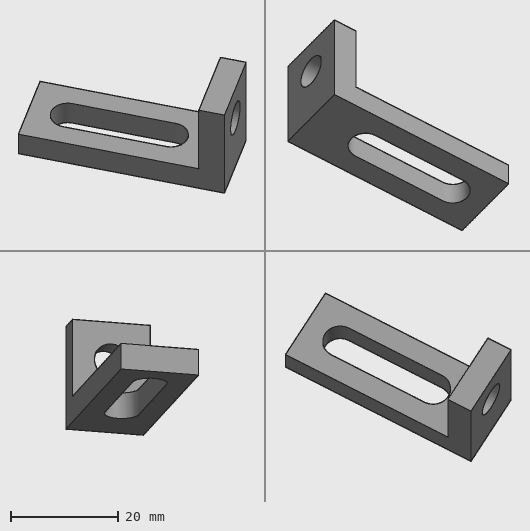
import cadquery as cq

length = 40.0
width = 15.0
height = 20.0
thickness = 5.0
bore_diameter = 6.5
slot_center_distance = 20.0

edge_distance = width / 2
slot_length = slot_center_distance + bore_diameter
slot_center_x = edge_distance + slot_center_distance / 2
hole_center_z = height - edge_distance


def make_body():
    """L-shaped plate: base along X with an upright at its +X end."""
    base = cq.Workplane("XY").box(length, width, thickness, centered=(False, True, False))
    upright = (
        cq.Workplane("XY")
        .box(thickness, width, height, centered=(False, True, False))
        .translate((length - thickness, 0, 0))
    )
    return base.union(upright)


def make_slot():
    """Round-ended slot through the base."""
    return (
        cq.Workplane("XY")
        .center(slot_center_x, 0)
        .slot2D(slot_length, bore_diameter)
        .extrude(thickness)
    )


def make_hole():
    """Round hole through the upright, along X."""
    return (
        cq.Workplane("YZ", origin=(length - thickness, 0, hole_center_z))
        .circle(bore_diameter / 2)
        .extrude(thickness)
    )


result = make_body().cut(make_slot()).cut(make_hole())